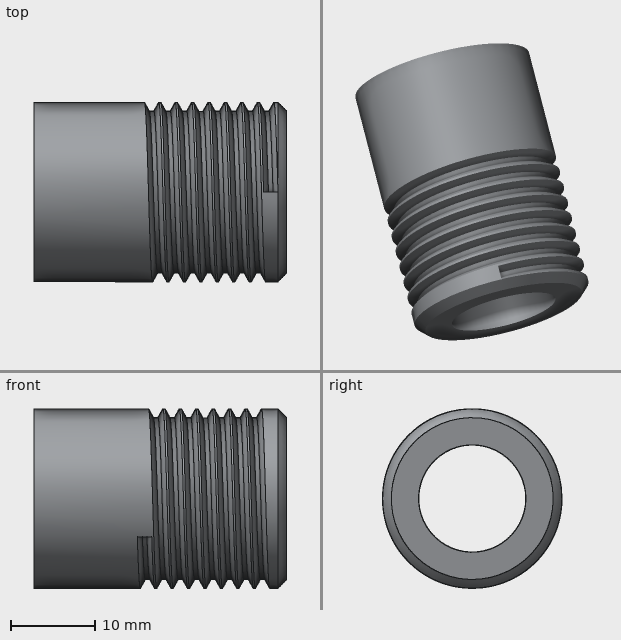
import cadquery as cq
import math

length = 30.0
outer_diameter = 21.3
bore_diameter = 12.7
end_chamfer = 1.05

pitch = 1.95
turns = 7.68
groove_depth = 1.05
groove_floor_width = 0.55
groove_mouth_width = 1.7
groove_end_x = 28.1
end_angle = 90.0
overcut = 0.05

outer_radius = outer_diameter / 2
groove_length = pitch * turns
groove_start_x = groove_end_x - groove_length


def make_sleeve():
    """Cylinder with a through bore and a chamfer around the threaded end."""
    return (
        cq.Workplane("YZ")
        .circle(outer_radius)
        .extrude(length)
        .faces(">X")
        .edges()
        .chamfer(end_chamfer)
        .faces("<X")
        .workplane()
        .hole(bore_diameter)
    )


def make_groove_cutter():
    """Trapezoid swept along the thread helix."""
    start_angle = math.radians(end_angle - 360 * turns)
    radial = cq.Vector(0, math.cos(start_angle), math.sin(start_angle))
    tangent = cq.Vector(1, 0, 0).cross(radial)
    start = cq.Vector(groove_start_x, 0, 0)

    floor_radius = outer_radius - groove_depth
    tip_radius = outer_radius + overcut
    flank_slope = (groove_mouth_width - groove_floor_width) / 2 / groove_depth
    floor_half = groove_floor_width / 2
    tip_half = groove_mouth_width / 2 + flank_slope * overcut

    helix = cq.Wire.makeHelix(pitch, groove_length, floor_radius)
    helix_plane = cq.Plane(origin=start, xDir=radial, normal=(1, 0, 0))
    path = cq.Workplane(helix_plane).newObject([helix.moved(cq.Location(helix_plane))])

    profile_plane = cq.Plane(origin=start, xDir=radial, normal=tangent * -1)
    return (
        cq.Workplane(profile_plane)
        .polyline(
            [
                (floor_radius, -floor_half),
                (tip_radius, -tip_half),
                (tip_radius, tip_half),
                (floor_radius, floor_half),
            ]
        )
        .close()
        .sweep(path, isFrenet=True)
    )


result = make_sleeve().cut(make_groove_cutter())